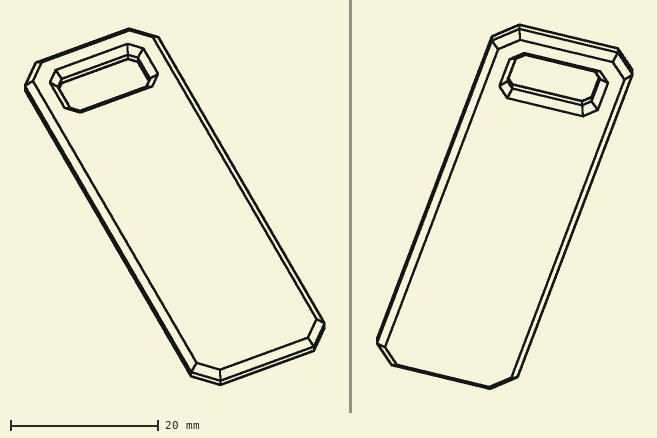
import cadquery as cq

length = 60.0
width = 20.0
thickness = 3.0
corner_cut = 3.0

bevel = 1.0

rim_width = 3.0
slot_length = 6.0
slot_width = width - 2 * (rim_width + bevel)
slot_corner_cut = 1.0
slot_center_x = -length / 2 + rim_width + bevel + slot_length / 2


def clipped_block(size_x, size_y, cut):
    """Plate-thick block standing on Z = 0 with its four upright corners cut off."""
    block = cq.Workplane("XY").box(size_x, size_y, thickness, centered=(True, True, False))
    return block.edges("|Z").chamfer(cut)


plate = clipped_block(length, width, corner_cut)
slot = clipped_block(slot_length, slot_width, slot_corner_cut).translate((slot_center_x, 0, 0))
pierced_plate = plate.cut(slot)

result = pierced_plate.faces("<Z or >Z").edges().chamfer(bevel)